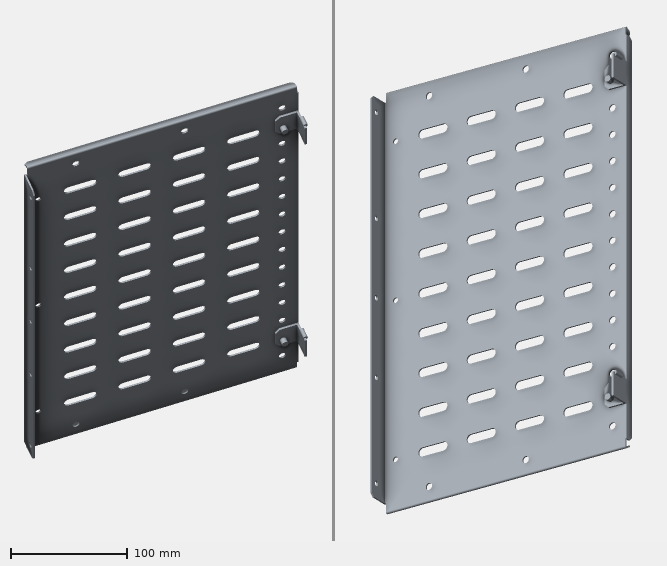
import cadquery as cq
import math


sheet = 1.5
panel_front_y = -126.0
panel_rear_y = 125.5
panel_half_height = 189.0
front_flange_reach = 20.63
front_flange_chamfer = 3.5
rear_flange_reach = 8.0
rear_flange_half_height = 190.5
rear_flange_chamfer = 3.0

lip_half_height = 198.65
lip_reach = 9.9
lip_slope = math.radians(30)
lip_bend_radius = 1.6
lip_front_y = -123.6
lip_rear_y = 124.4
lip_chamfer = 3.0

slot_length = 30.0
slot_width = 8.5
slot_pitch_y = 50.0
slot_pitch_z = 37.5
slot_columns = 4
slot_rows = 9
rear_hole_diameter = 6.5
rear_hole_y = 110.6
rear_hole_pitch = 25.0
rear_hole_positions = 15
edge_hole_diameter = 6.5
edge_hole_ys = (-79.0, 21.0)
edge_hole_z = 184.2
front_hole_diameter = 5.0
front_hole_y = -113.7
front_hole_zs = (-150.0, 0.0, 150.0)
flange_hole_diameter = 5.0
flange_hole_x = 13.3
flange_hole_zs = (-175.0, -75.0, 0.0, 75.0, 175.0)

screw_zs = (-150.0, 150.0)
shank_diameter = 6.0
shank_end_x = 7.3
head_diameter = 12.0
head_top_diameter = 7.5
head_rim = 3.5
head_height = 5.0
socket_diameter = 4.0
socket_depth = 2.5
bracket_thickness = 2.0
bracket_end_y = 103.8
bracket_chamfer = 4.0
bracket_below_screw = 7.5
bead_radius = 2.0
bead_above_screw = 15.25
bead_top_y = 127.25
bead_start_x = 8.3
bead_length = 9.7


def block(x_range, y_range, z_range):
    """A box given by its limits along each axis."""
    sizes = [high - low for low, high in (x_range, y_range, z_range)]
    corner = (x_range[0], y_range[0], z_range[0])
    return cq.Workplane("XY").box(*sizes, centered=False).translate(corner)


def holes_along_x(points, diameter):
    """Cutters through the panel at (y, z) points."""
    plane = cq.Workplane("YZ", origin=(-sheet, 0, 0))
    return plane.pushPoints(points).circle(diameter / 2).extrude(sheet)


def top_lip():
    """Sheet rising from the panel's top edge, bent over a radius into a slope down toward -X."""
    inner_radius = lip_bend_radius - sheet
    bend_x = -lip_bend_radius
    bend_z = lip_half_height - lip_bend_radius
    bend_end = math.pi / 2 + lip_slope
    bend_middle = bend_end / 2
    slope_length = (lip_reach + bend_x + lip_bend_radius * math.cos(bend_end)) / math.cos(lip_slope)

    def on_bend(radius, angle):
        return (bend_x + radius * math.cos(angle), bend_z + radius * math.sin(angle))

    def down_slope(point):
        return (
            point[0] - slope_length * math.cos(lip_slope),
            point[1] - slope_length * math.sin(lip_slope),
        )

    profile = (
        cq.Workplane("XZ", origin=(0, lip_rear_y, 0))
        .moveTo(0, panel_half_height)
        .lineTo(0, bend_z)
        .threePointArc(on_bend(lip_bend_radius, bend_middle), on_bend(lip_bend_radius, bend_end))
        .lineTo(*down_slope(on_bend(lip_bend_radius, bend_end)))
        .lineTo(*down_slope(on_bend(inner_radius, bend_end)))
        .lineTo(*on_bend(inner_radius, bend_end))
        .threePointArc(on_bend(inner_radius, bend_middle), (-sheet, bend_z))
        .lineTo(-sheet, panel_half_height)
        .close()
    )
    lip = profile.extrude(lip_rear_y - lip_front_y)
    trim = block(
        (-lip_reach, 0), (lip_front_y, lip_rear_y), (panel_half_height, lip_half_height)
    ).edges("<X and |Z").chamfer(lip_chamfer)
    return lip.intersect(trim)


def front_flange():
    """Flange along the -Y edge, turned toward +X, with clipped outer corners and a row of holes."""
    flange = block(
        (-sheet, front_flange_reach),
        (panel_front_y, panel_front_y + sheet),
        (-panel_half_height, panel_half_height),
    ).edges(">X and |Y").chamfer(front_flange_chamfer)
    holes = (
        cq.Workplane("XZ", origin=(0, panel_front_y + sheet, 0))
        .pushPoints([(flange_hole_x, z) for z in flange_hole_zs])
        .circle(flange_hole_diameter / 2)
        .extrude(sheet)
    )
    return flange.cut(holes)


def rear_flange():
    """Shallow flange along the +Y edge, turned toward -X, with clipped outer corners."""
    return block(
        (-rear_flange_reach, 0),
        (panel_rear_y - sheet, panel_rear_y),
        (-rear_flange_half_height, rear_flange_half_height),
    ).edges("<X and |Y").chamfer(rear_flange_chamfer)


def make_tray():
    panel = block(
        (-sheet, 0), (panel_front_y, panel_rear_y), (-panel_half_height, panel_half_height)
    )
    slots = (
        cq.Workplane("YZ", origin=(-sheet, 0, 0))
        .rarray(slot_pitch_y, slot_pitch_z, slot_columns, slot_rows)
        .slot2D(slot_length, slot_width)
        .extrude(sheet)
    )
    first_rear_z = -rear_hole_pitch * (rear_hole_positions - 1) / 2
    rear_zs = [first_rear_z + i * rear_hole_pitch for i in range(rear_hole_positions)]
    rear_points = [(rear_hole_y, z) for z in rear_zs if z not in screw_zs]
    screw_points = [(rear_hole_y, z) for z in screw_zs]
    edge_points = [(y, side * edge_hole_z) for y in edge_hole_ys for side in (-1, 1)]
    front_points = [(front_hole_y, z) for z in front_hole_zs]

    lip = top_lip()
    return (
        panel.union(lip)
        .union(lip.mirror("XY"))
        .union(front_flange())
        .union(rear_flange())
        .cut(slots)
        .cut(holes_along_x(rear_points, rear_hole_diameter))
        .cut(holes_along_x(screw_points, shank_diameter))
        .cut(holes_along_x(edge_points, edge_hole_diameter))
        .cut(holes_along_x(front_points, front_hole_diameter))
    )


def make_bracket(screw_z):
    """Angle behind the panel: one leg under the screw, one along +X carrying a round bead at its top."""
    z_range = (screw_z - bracket_below_screw, screw_z + bead_above_screw)
    screw_leg = block((0, bracket_thickness), (bracket_end_y, panel_rear_y), z_range)
    screw_leg = screw_leg.edges("<Y and |X").chamfer(bracket_chamfer)
    side_leg = block((0, front_flange_reach), (panel_rear_y - bracket_thickness, panel_rear_y), z_range)
    bead = (
        cq.Workplane("YZ", origin=(bead_start_x, bead_top_y - bead_radius, z_range[1]))
        .circle(bead_radius)
        .extrude(bead_length)
    )
    shank_hole = (
        cq.Workplane("YZ", origin=(0, rear_hole_y, screw_z))
        .circle(shank_diameter / 2)
        .extrude(bracket_thickness)
    )
    return screw_leg.union(side_leg).union(bead).cut(shank_hole)


def make_screw(screw_z):
    """Screw along X: a rimmed cone head in front of the panel and a plain shank through it."""
    head_top_x = -sheet - head_height
    rim_x = -sheet - head_rim
    profile = (
        cq.Workplane("XY")
        .moveTo(head_top_x + socket_depth, 0)
        .lineTo(head_top_x + socket_depth, socket_diameter / 2)
        .lineTo(head_top_x, socket_diameter / 2)
        .lineTo(head_top_x, head_top_diameter / 2)
        .lineTo(rim_x, head_diameter / 2)
        .lineTo(-sheet, head_diameter / 2)
        .lineTo(-sheet, shank_diameter / 2)
        .lineTo(shank_end_x, shank_diameter / 2)
        .lineTo(shank_end_x, 0)
        .close()
    )
    screw = profile.revolve(360, (0, 0, 0), (1, 0, 0))
    return screw.translate((0, rear_hole_y, screw_z))


tray = make_tray()
brackets = [make_bracket(z) for z in screw_zs]
screws = [make_screw(z) for z in screw_zs]

result = cq.Compound.makeCompound(
    [tray.val(), *[bracket.val() for bracket in brackets], *[screw.val() for screw in screws]]
)